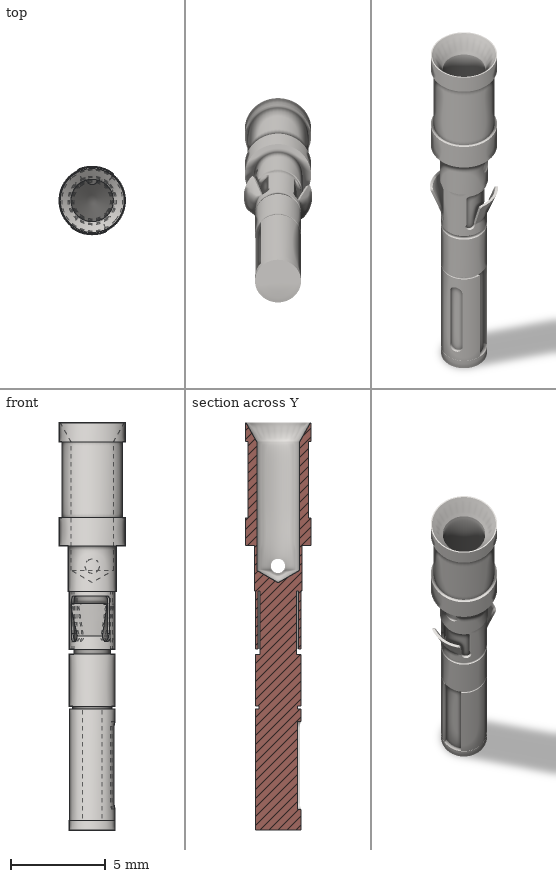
import cadquery as cq

tip_ring_top = 0.52
hood_top = 6.4
body_bottom = 6.54
body_top = 9.29
sleeve_bottom = 9.55
neck_bottom = 12.6
lower_collar_bottom = 15.0
barrel_bottom = 16.5
rim_bottom = 20.5
overall_height = 21.5

collar_diameter = 3.5
barrel_diameter = 3.2
neck_diameter = 2.55
body_diameter = 2.43
hood_diameter = 2.4
hood_core_diameter = 2.06
sleeve_core_diameter = 1.94

countersink_diameter = 3.38
bore_diameter = 2.24
bore_bottom = 13.72
drill_point_depth = 0.65
inspection_hole_diameter = 0.75
inspection_hole_height = 13.93

sleeve_wall = 0.15
sleeve_radius = body_diameter / 2
sleeve_inner_radius = sleeve_radius - sleeve_wall
tongue_directions = (-97.0, 83.0)
window_angle = 112.0
window_top = 12.36
window_corner_radius = 0.2
tongue_angle = 66.0
tongue_bottom = 10.25
tongue_top = 11.95
tongue_tip_radius = 1.8
tongue_corner_radius = 0.17
relief_radius = 0.25
relief_height = 10.21
relief_angle = 46.0

hood_gap_width = 1.03
hood_slot_width = 0.69
hood_slot_bottom = 1.12
hood_slot_top = 5.75


def cylinder(diameter, bottom, top):
    return cq.Workplane("XY").workplane(offset=bottom).circle(diameter / 2).extrude(top - bottom)


def tube(outer_radius, inner_radius, bottom, top):
    return cylinder(2 * outer_radius, bottom, top).cut(cylinder(2 * inner_radius, bottom, top))


def sector(profile, angle, direction):
    """Revolve (radius, height) points about Z, centred on a direction."""
    solid = cq.Workplane("XZ").polyline(profile).close().revolve(angle, (0, 0, 0), (0, 1, 0))
    return solid.rotate((0, 0, 0), (0, 0, 1), direction - angle / 2)


def round_top_corners(solid, radius):
    """Round the two corners where the end faces of a sector meet its top face."""
    return solid.faces(">Z").edges("%LINE").fillet(radius)


def turned_body():
    steps = (
        (body_diameter, 0, tip_ring_top),
        (hood_diameter, tip_ring_top, hood_top),
        (hood_core_diameter, hood_top, body_bottom),
        (body_diameter, body_bottom, body_top),
        (sleeve_core_diameter, body_top, neck_bottom),
        (neck_diameter, neck_bottom, lower_collar_bottom),
        (collar_diameter, lower_collar_bottom, barrel_bottom),
        (barrel_diameter, barrel_bottom, rim_bottom),
        (collar_diameter, rim_bottom, overall_height),
    )
    body = cylinder(*steps[0])
    for step in steps[1:]:
        body = body.union(cylinder(*step))
    return body


def wire_bore():
    profile = (
        (0, overall_height),
        (countersink_diameter / 2, overall_height),
        (bore_diameter / 2, rim_bottom),
        (bore_diameter / 2, bore_bottom),
        (0, bore_bottom - drill_point_depth),
    )
    return sector(profile, 360, 0)


def inspection_hole():
    """Radial hole from the +Y side into the bottom of the wire bore."""
    return (
        cq.Workplane("XZ")
        .center(0, inspection_hole_height)
        .circle(inspection_hole_diameter / 2)
        .extrude(-neck_diameter)
    )


def sleeve_window(direction):
    """Window through the sleeve wall, with a round relief at each lower corner."""
    core_radius = sleeve_core_diameter / 2
    profile = (
        (core_radius, tongue_bottom),
        (sleeve_radius + sleeve_wall, tongue_bottom),
        (sleeve_radius + sleeve_wall, window_top),
        (core_radius, window_top),
    )
    window = round_top_corners(sector(profile, window_angle, direction), window_corner_radius)
    for side in (-relief_angle, relief_angle):
        relief = (
            cq.Workplane("YZ")
            .center(0, relief_height)
            .circle(relief_radius)
            .extrude(sleeve_radius + sleeve_wall)
            .rotate((0, 0, 0), (0, 0, 1), direction + side)
        )
        window = window.union(relief)
    return window


def tongue(direction):
    """Curved tongue flaring outwards from the lower edge of its window."""
    profile = (
        (sleeve_inner_radius, tongue_bottom),
        (sleeve_radius, tongue_bottom),
        (tongue_tip_radius, tongue_top),
        (tongue_tip_radius - sleeve_wall, tongue_top),
    )
    return round_top_corners(sector(profile, tongue_angle, direction), tongue_corner_radius)


def retention_sleeve():
    """Thin sleeve hanging from the neck, clear of the core inside it."""
    sleeve = tube(sleeve_radius, sleeve_inner_radius, sleeve_bottom, neck_bottom)
    for direction in tongue_directions:
        sleeve = sleeve.cut(sleeve_window(direction)).union(tongue(direction))
    return sleeve


def hood_openings():
    """Full-length gap on the +Y side and round-ended slot on the +X side of the hood."""
    hood_height = hood_top - tip_ring_top
    gap = (
        cq.Workplane("XZ")
        .center(0, tip_ring_top + hood_height / 2)
        .rect(hood_gap_width, hood_height)
        .extrude(-hood_diameter)
    )
    slot = (
        cq.Workplane("YZ")
        .center(0, (hood_slot_bottom + hood_slot_top) / 2)
        .slot2D(hood_slot_top - hood_slot_bottom, hood_slot_width, 90)
        .extrude(hood_diameter)
    )
    core = cylinder(hood_core_diameter, tip_ring_top, hood_top)
    return gap.union(slot).cut(core)


result = (
    turned_body()
    .cut(wire_bore())
    .cut(inspection_hole())
    .cut(hood_openings())
    .union(retention_sleeve())
)